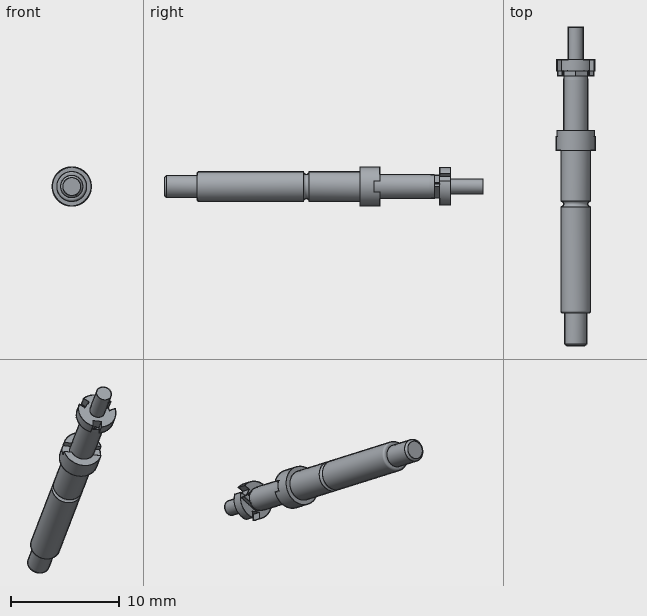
import cadquery as cq

total_length = 29.3

wire_radius = 0.7
flange_start = 3.0
flange_length = 1.03
flange_radius = 1.75
neck_length = 0.47
neck_half_width = 1.67
neck_half_height = 1.05
barrel_radius = 1.1
barrel_end_radius = 1.08
barrel_taper_length = 0.4
collar_start = 9.5
collar_length = 1.85
collar_diameter = 3.6
body_radius = 1.38
body_rounding = 0.2
tip_length = 3.02
tip_radius = 1.03
tip_chamfer = 0.2

groove_start = 16.0
groove_radius = 0.258

notch_count = 3
notch_first_angle = 30.0
notch_width = 0.8
notch_floor = 1.1

key_slot_width = 1.0
key_slot_depth = 0.55

flange_end = flange_start + flange_length
neck_end = flange_end + neck_length
taper_end = neck_end + barrel_taper_length
collar_radius = collar_diameter / 2
collar_end = collar_start + collar_length
body_end = total_length - tip_length
groove_center = groove_start + groove_radius


def plane_at(station):
    """Plane across the axis whose extrusions run toward the contact tip, local X and Y on X and Z."""
    return cq.Workplane("XZ", origin=(0, -station, 0))


def wire_and_flange():
    wire = plane_at(0).circle(wire_radius).extrude(flange_start)
    flange = plane_at(flange_start).circle(flange_radius).extrude(flange_length)
    return wire.union(flange)


def diamond_neck():
    corners = [
        (neck_half_width, 0),
        (0, neck_half_height),
        (-neck_half_width, 0),
        (0, -neck_half_height),
    ]
    return plane_at(flange_end).polyline(corners).close().extrude(neck_length)


def cut_radial_notches(head):
    """Cut flat-floored notches, open outward and evenly spaced around the axis."""
    notch = (
        plane_at(flange_start)
        .center(notch_floor + flange_radius / 2, 0)
        .rect(flange_radius, notch_width)
        .extrude(flange_length + neck_length)
    )
    for index in range(notch_count):
        angle = notch_first_angle + index * 360 / notch_count
        head = head.cut(notch.rotate((0, 0, 0), (0, 1, 0), -angle))
    return head


def barrel_and_collar():
    """Barrel, tapered slightly toward the neck, with the collar at its other end."""
    outline = [
        (0, -neck_end),
        (barrel_end_radius, -neck_end),
        (barrel_radius, -taper_end),
        (barrel_radius, -collar_start),
        (collar_radius, -collar_start),
        (collar_radius, -collar_end),
        (0, -collar_end),
    ]
    return cq.Workplane("XY").polyline(outline).close().revolve(360, (0, 0, 0), (0, 1, 0))


def key_slot():
    slot = plane_at(collar_start).rect(collar_diameter, key_slot_width).extrude(key_slot_depth)
    core = plane_at(collar_start).circle(barrel_radius).extrude(key_slot_depth)
    return slot.cut(core)


def rounded_body():
    """Plain body cylinder with its tip-side rim rounded."""
    cylinder = plane_at(collar_end).circle(body_radius).extrude(body_end - collar_end)
    return cylinder.faces("<Y").edges().fillet(body_rounding)


def body_groove():
    """Ring of circular section centred on the body surface."""
    section = cq.Workplane("XY").center(body_radius, -groove_center).circle(groove_radius)
    return section.revolve(360, (-body_radius, 0, 0), (-body_radius, 1, 0))


def contact_tip():
    tip = plane_at(body_end).circle(tip_radius).extrude(tip_length)
    return tip.faces("<Y").chamfer(tip_chamfer)


head = cut_radial_notches(wire_and_flange().union(diamond_neck()))
collared_barrel = barrel_and_collar().cut(key_slot())
body = rounded_body().cut(body_groove())
result = head.union(collared_barrel).union(body).union(contact_tip())